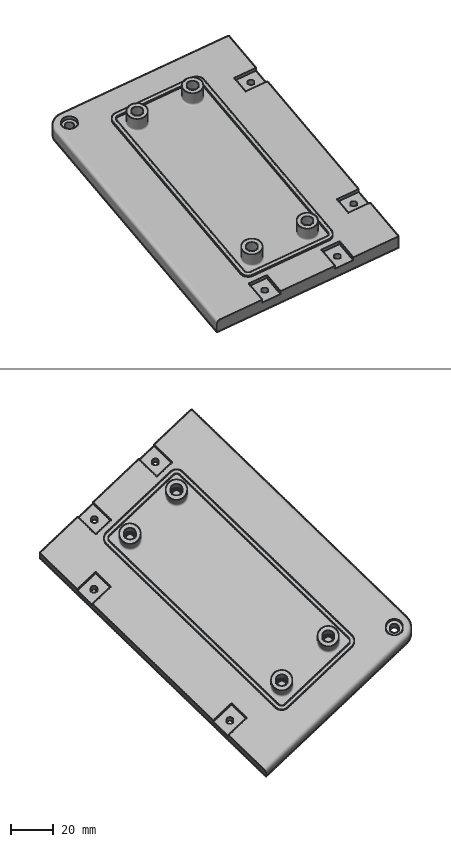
import cadquery as cq

plate_length = 150.0
plate_width = 100.0
plate_thickness = 8.0
corner_radius = 8.0
top_edge_radius = 2.0

rim_length = 120.0
rim_width = 50.0
rim_wall = 2.0
rim_height = 1.0
rim_outer_radius = 4.0
rim_inner_radius = rim_outer_radius - rim_wall

overall_height = 16.0
standoff_diameter = 10.0
standoff_spacing_x = 100.5
standoff_spacing_y = 30.5
standoff_base_radius = 1.0
insert_diameter = 5.7
insert_depth = 6.0
screw_tip_diameter = 4.4
standoff_hole_depth = overall_height - plate_thickness

corner_hole_diameter = 4.4
corner_head_diameter = 8.0
corner_head_depth = 2.0

notch_width = 10.0
notch_length = 12.0
notch_depth = 2.0
notch_hole_diameter = 3.3
back_notch_x = (30.0, 120.0)
end_notch_y = (30.0, 70.0)

center_x = plate_length / 2
center_y = plate_width / 2


def make_plate():
    plate = cq.Workplane("XY").box(plate_length, plate_width, plate_thickness, centered=False)
    plate = plate.edges("|Z and <X and <Y").fillet(corner_radius)
    return plate.faces(">Z").edges("<Y").fillet(top_edge_radius)


def make_rim():
    def rounded_block(length, width, radius):
        block = cq.Workplane("XY", origin=(center_x, center_y, plate_thickness))
        return block.rect(length, width).extrude(rim_height).edges("|Z").fillet(radius)

    outer = rounded_block(rim_length, rim_width, rim_outer_radius)
    inner = rounded_block(rim_length - 2 * rim_wall, rim_width - 2 * rim_wall, rim_inner_radius)
    return outer.cut(inner)


def make_standoff_profile():
    """Half section of a standoff with a concave fillet at its foot."""
    outer_radius = standoff_diameter / 2
    foot_radius = outer_radius + standoff_base_radius
    profile = cq.Workplane("XZ").moveTo(0, plate_thickness).lineTo(foot_radius, plate_thickness)
    profile = profile.radiusArc(
        (outer_radius, plate_thickness + standoff_base_radius), standoff_base_radius
    )
    return profile.lineTo(outer_radius, overall_height).lineTo(0, overall_height).close()


def add_standoffs(body):
    standoff = make_standoff_profile().revolve(360, (0, 0, 0), (0, 1, 0))
    top = cq.Workplane("XY", origin=(0, 0, overall_height))
    hole = top.circle(insert_diameter / 2).extrude(-insert_depth)
    hole = hole.union(top.circle(screw_tip_diameter / 2).extrude(-standoff_hole_depth))
    standoff = standoff.cut(hole)
    for side_x in (-1, 1):
        for side_y in (-1, 1):
            x = center_x + side_x * standoff_spacing_x / 2
            y = center_y + side_y * standoff_spacing_y / 2
            body = body.union(standoff.translate((x, y, 0)))
    return body


def cut_corner_hole(body):
    top = cq.Workplane("XY", origin=(corner_radius, corner_radius, plate_thickness))
    body = body.cut(top.circle(corner_hole_diameter / 2).extrude(-plate_thickness))
    return body.cut(top.circle(corner_head_diameter / 2).extrude(-corner_head_depth))


def cut_notch(body, x, y, size_x, size_y):
    top = cq.Workplane("XY", origin=(x, y, plate_thickness))
    body = body.cut(top.rect(size_x, size_y).extrude(-notch_depth))
    return body.cut(top.circle(notch_hole_diameter / 2).extrude(-plate_thickness))


def cut_notches(body):
    for x in back_notch_x:
        body = cut_notch(body, x, plate_width - notch_length / 2, notch_width, notch_length)
    for y in end_notch_y:
        body = cut_notch(body, plate_length - notch_length / 2, y, notch_length, notch_width)
    return body


result = make_plate().union(make_rim())
result = add_standoffs(result)
result = cut_corner_hole(result)
result = cut_notches(result)